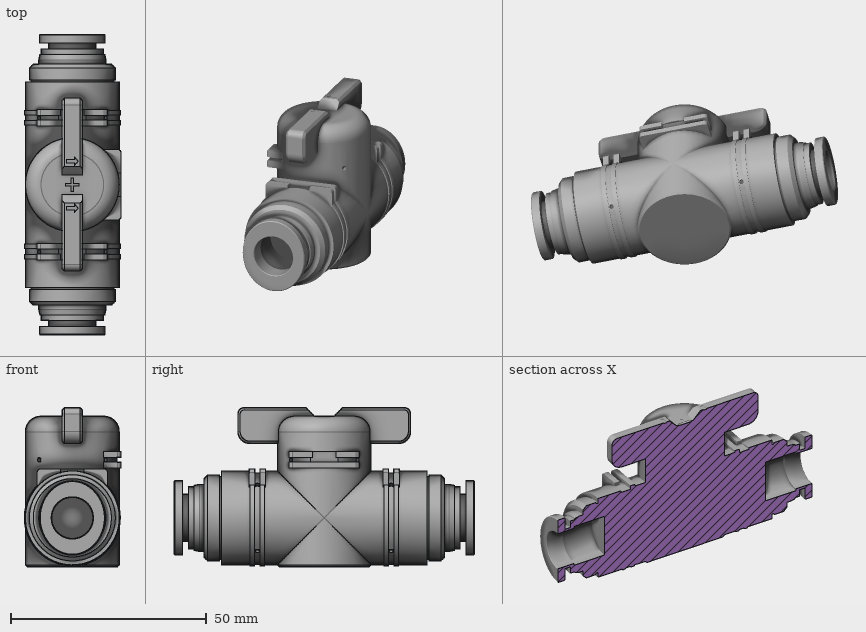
import cadquery as cq
import math

body_radius = 12.0
body_half_length = 26.3
column_bottom = -12.5
column_top = 26.0
column_bottom_chamfer = 0.5
cap_fillet = 4.0

overall_half_length = 38.4
collar_inner_face = 36.2
retainer_outer_face = 34.7
seat_outer_face = 33.3
seat_taper_end = 31.9
sleeve_outer_face = 30.8
sleeve_inner_face = 26.8

collar_half_width = 8.4
collar_half_height = 9.5
collar_edge_chamfer = 0.2
neck_radius = 6.05
retainer_radius = 8.0
seat_small_radius = 8.3
seat_radius = 8.6
sleeve_radius = 11.0
sleeve_chamfer = 1.0
undercut_radius = 10.6

bore_radius = 5.25
bore_edge_chamfer = 0.15
bore_lip_length = 5.0
socket_radius = 5.8
socket_depth = 14.0

plate_half_width = 9.0
plate_height = 12.5
plate_root = 7.0
plate_thickness = 1.5
plate_corner_radius = 0.9
plate_notch_half_width = 3.0
slot_width = 1.25
recess_floor = 11.48
body_plates_y = 17.1
column_plates_z = 14.85
plate_pitch = slot_width + plate_thickness

ring_radius = 12.28
ring_width = 1.15
ring_pitch = 2.6

dimple_diameter = 1.1
dimple_depth = 1.0

handle_half_length = 22.1
handle_width = 5.2
handle_top = 28.2
handle_bottom = 19.0
handle_top_corner = 1.7
handle_bottom_corner = 3.1
handle_edge_chamfer = 0.6
gap_half_width_at_cap = 2.5
gap_half_width_at_top = gap_half_width_at_cap + handle_top - column_top

mark_depth = 0.2
plus_length = 3.4
plus_stroke = 0.6
arrow_offset = 6.0
arrow_half_length = 1.5
arrow_neck_x = 0.5
arrow_shaft_half_width = 0.45
arrow_head_half_width = 1.1


def pipe_disc(radius, y_start, y_end):
    """Cylinder on the Y axis between two Y positions."""
    return cq.Workplane("XZ", origin=(0, y_end, 0)).circle(radius).extrude(y_end - y_start)


def make_body():
    pipe = pipe_disc(body_radius, -body_half_length, body_half_length)
    column = (
        cq.Workplane("XY", origin=(0, 0, column_bottom))
        .circle(body_radius)
        .extrude(column_top - column_bottom)
        .faces(">Z").edges().fillet(cap_fillet)
        .faces("<Z").edges().chamfer(column_bottom_chamfer)
    )
    return pipe.union(column)


def make_end_fitting():
    """Fitting on the +Y end: stepped round parts and an oval release collar."""
    stepped = (
        cq.Workplane("XY")
        .moveTo(0, body_half_length)
        .lineTo(undercut_radius, body_half_length)
        .lineTo(undercut_radius, sleeve_inner_face)
        .lineTo(sleeve_radius, sleeve_inner_face)
        .lineTo(sleeve_radius, sleeve_outer_face - sleeve_chamfer)
        .lineTo(sleeve_radius - sleeve_chamfer, sleeve_outer_face)
        .lineTo(seat_radius, sleeve_outer_face)
        .lineTo(seat_radius, seat_taper_end)
        .lineTo(seat_small_radius, seat_outer_face)
        .lineTo(retainer_radius, seat_outer_face)
        .lineTo(retainer_radius, retainer_outer_face)
        .lineTo(neck_radius, retainer_outer_face)
        .lineTo(neck_radius, collar_inner_face)
        .lineTo(0, collar_inner_face)
        .close()
        .revolve(360, (0, 0, 0), (0, 1, 0))
    )
    collar = (
        cq.Workplane("XZ", origin=(0, overall_half_length, 0))
        .ellipse(collar_half_width, collar_half_height)
        .extrude(overall_half_length - collar_inner_face)
        .faces(">Y").edges().chamfer(collar_edge_chamfer)
    )
    return stepped.union(collar)


def make_tube_socket():
    """Cutter for the +Y end: chamfered lip opening into a wider socket."""
    lip_end = overall_half_length - bore_lip_length
    socket_floor = overall_half_length - socket_depth
    return (
        cq.Workplane("XY")
        .moveTo(0, socket_floor)
        .lineTo(socket_radius, socket_floor)
        .lineTo(socket_radius, lip_end)
        .lineTo(bore_radius, lip_end)
        .lineTo(bore_radius, overall_half_length - bore_edge_chamfer)
        .lineTo(bore_radius + bore_edge_chamfer, overall_half_length)
        .lineTo(0, overall_half_length)
        .close()
        .revolve(360, (0, 0, 0), (0, 1, 0))
    )


def box_on_floor(width, depth, y_center, z_bottom, z_top):
    """Box centred on X = 0, standing between two heights."""
    return (
        cq.Workplane("XY", origin=(0, y_center, z_bottom))
        .box(width, depth, z_top - z_bottom, centered=(True, True, False))
    )


def make_plate_pair():
    """Two plates standing along Z, either side of Y = 0."""
    plates = cq.Workplane("XY")
    for side in (-1, 1):
        plate = box_on_floor(
            2 * plate_half_width, plate_thickness, side * plate_pitch / 2, plate_root, plate_height
        )
        plates = plates.add(plate.edges("|Y and >Z").fillet(plate_corner_radius))
    return plates.combine()


def make_recess_cutter():
    """Flat-floored recess: the slot between the plates and the notch through the +Y plate."""
    slot = box_on_floor(2 * plate_half_width, slot_width, 0, recess_floor, plate_height)
    notch = box_on_floor(
        2 * plate_notch_half_width, plate_thickness, plate_pitch / 2, recess_floor, plate_height
    )
    return slot.union(notch)


def to_body_end(shape):
    return shape.translate((0, body_plates_y, 0))


def to_column(shape):
    """Turn a Z-standing shape to face +X, with its +Y side upwards."""
    facing_x = shape.rotate((0, 0, 0), (1, 1, 1), 120)
    return facing_x.translate((0, 0, column_plates_z))


def to_opposite_end(shape):
    return shape.mirror("XZ")


def make_rings():
    rings = None
    for side in (-1, 1):
        middle = body_plates_y + side * ring_pitch / 2
        ring = pipe_disc(ring_radius, middle - ring_width / 2, middle + ring_width / 2)
        rings = ring if rings is None else rings.union(ring)
    return rings


def make_dimples(center, axis):
    """Four radial dimple cutters around the pipe (axis "Y") or the column (axis "Z")."""
    floor_offset = (body_radius - dimple_depth) * math.sqrt(0.5)
    cutters = cq.Workplane("XY")
    for x_side in (-1, 1):
        for other_side in (-1, 1):
            x = x_side * floor_offset
            other = other_side * floor_offset
            if axis == "Y":
                origin = (x, center, other)
                direction = (x_side, 0, other_side)
            else:
                origin = (x, other, center)
                direction = (x_side, other_side, 0)
            plane = cq.Plane(origin=origin, normal=direction)
            cutters = cutters.add(cq.Workplane(plane).circle(dimple_diameter / 2).extrude(2 * dimple_depth))
    return cutters.combine()


def make_handle():
    bar = (
        cq.Workplane("XY", origin=(0, 0, handle_bottom))
        .box(handle_width, 2 * handle_half_length, handle_top - handle_bottom, centered=(True, True, False))
        .edges("|X and >Z").fillet(handle_top_corner)
        .edges("|X and <Z").fillet(handle_bottom_corner)
        .faces("<X or >X").edges().chamfer(handle_edge_chamfer)
    )
    gap = (
        cq.Workplane("YZ")
        .moveTo(-gap_half_width_at_cap, column_top)
        .lineTo(gap_half_width_at_cap, column_top)
        .lineTo(gap_half_width_at_top, handle_top)
        .lineTo(-gap_half_width_at_top, handle_top)
        .close()
        .extrude(handle_width, both=True)
    )
    return bar.cut(gap)


def make_marks():
    """Cutters for the plus sign on the cap and the arrow on each half of the handle."""
    plus_plane = cq.Workplane("XY", origin=(0, 0, column_top - mark_depth))
    marks = plus_plane.rect(plus_length, plus_stroke).extrude(mark_depth)
    marks = marks.union(plus_plane.rect(plus_stroke, plus_length).extrude(mark_depth))
    for side in (-1, 1):
        arrow = (
            cq.Workplane("XY", origin=(0, side * arrow_offset, handle_top - mark_depth))
            .moveTo(-arrow_half_length, -arrow_shaft_half_width)
            .lineTo(arrow_neck_x, -arrow_shaft_half_width)
            .lineTo(arrow_neck_x, -arrow_head_half_width)
            .lineTo(arrow_half_length, 0)
            .lineTo(arrow_neck_x, arrow_head_half_width)
            .lineTo(arrow_neck_x, arrow_shaft_half_width)
            .lineTo(-arrow_half_length, arrow_shaft_half_width)
            .close()
            .extrude(mark_depth)
        )
        marks = marks.union(arrow)
    return marks


plate_pair = make_plate_pair()
recess = make_recess_cutter()

result = make_body()
result = result.union(to_column(plate_pair)).cut(to_column(recess))
result = result.cut(make_dimples(column_plates_z, "Z"))

end_additions = make_end_fitting().union(make_rings()).union(to_body_end(plate_pair))
result = result.union(end_additions).union(to_opposite_end(end_additions))
end_cutters = (to_body_end(recess), make_dimples(body_plates_y, "Y"), make_tube_socket())
for cutter in end_cutters:
    result = result.cut(cutter).cut(to_opposite_end(cutter))

result = result.union(make_handle()).cut(make_marks())